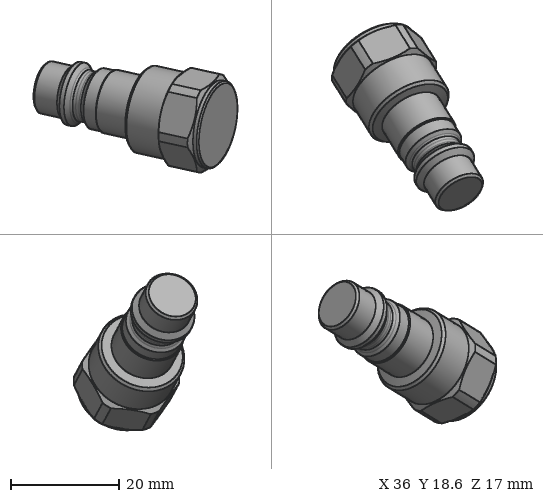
import cadquery as cq
import math

length = 36.0
collar_start = 5.1
collar_crest_end = 7.1
land_start = 11.05
land_end = 13.55
shoulder_start = 20.25
shoulder_cone_end = 20.63
body_start = 21.15
nut_start = 27.75
nut_end = 34.92

nose_radius = 4.95
stem_radius = 6.0
neck_radius = 4.82
land_radius = 5.8
shoulder_radius = 7.78
body_radius = 8.28

tip_chamfer = 0.45
rear_chamfer = 0.32
neck_curve = 1.4

nut_across_flats = 17.0
nut_corner_radius = 9.32
nut_chamfer_angle = 30.0


def make_body():
    """Revolve the stepped plug profile, with 45 degree flanks on the collar and neck."""
    collar_crest_start = collar_start + stem_radius - nose_radius
    stem_start = land_end + stem_radius - land_radius

    curve_run = neck_curve * math.sin(math.radians(45))
    curve_rise = neck_curve * (1 - math.cos(math.radians(45)))
    mid_run = neck_curve * math.sin(math.radians(22.5))
    mid_rise = neck_curve * (1 - math.cos(math.radians(22.5)))
    flank_radius = neck_radius + curve_rise
    front_flank_end = collar_crest_end + stem_radius - flank_radius
    rear_flank_start = land_start - (land_radius - flank_radius)
    neck_start = front_flank_end + curve_run
    neck_end = rear_flank_start - curve_run

    profile = (
        cq.Workplane("XY")
        .moveTo(0, 0)
        .lineTo(0, nose_radius - tip_chamfer)
        .lineTo(tip_chamfer, nose_radius)
        .lineTo(collar_start, nose_radius)
        .lineTo(collar_crest_start, stem_radius)
        .lineTo(collar_crest_end, stem_radius)
        .lineTo(front_flank_end, flank_radius)
        .lineTo(neck_start - mid_run, neck_radius + mid_rise)
        .lineTo(neck_start, neck_radius)
        .lineTo(neck_end, neck_radius)
        .lineTo(neck_end + mid_run, neck_radius + mid_rise)
        .lineTo(rear_flank_start, flank_radius)
        .lineTo(land_start, land_radius)
        .lineTo(land_end, land_radius)
        .lineTo(stem_start, stem_radius)
        .lineTo(shoulder_start, stem_radius)
        .lineTo(shoulder_cone_end, shoulder_radius)
        .lineTo(body_start, body_radius)
        .lineTo(length - rear_chamfer, body_radius)
        .lineTo(length, body_radius - rear_chamfer)
        .lineTo(length, 0)
        .close()
    )
    return profile.revolve(360, (0, 0, 0), (1, 0, 0))


def make_nut():
    """Hexagon with flats facing +Z and -Z, its corners turned round and chamfered."""
    across_corners = nut_across_flats / math.cos(math.radians(30))
    hexagon = (
        cq.Workplane("YZ", origin=(nut_start, 0, 0))
        .polygon(6, across_corners)
        .extrude(nut_end - nut_start)
    )
    chamfer_run = (nut_corner_radius - body_radius) * math.tan(math.radians(nut_chamfer_angle))
    turned_blank = (
        cq.Workplane("XY")
        .moveTo(nut_start, 0)
        .lineTo(nut_start, body_radius)
        .lineTo(nut_start + chamfer_run, nut_corner_radius)
        .lineTo(nut_end - chamfer_run, nut_corner_radius)
        .lineTo(nut_end, body_radius)
        .lineTo(nut_end, 0)
        .close()
        .revolve(360, (0, 0, 0), (1, 0, 0))
    )
    return hexagon.intersect(turned_blank)


result = make_body().union(make_nut())